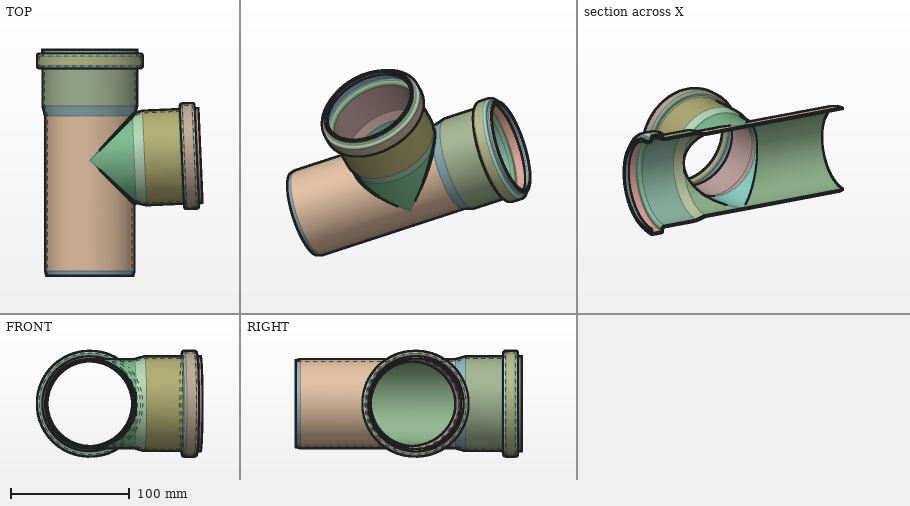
import cadquery as cq
import math

PIPE_OUTER_DIAMETER = 75.2
PIPE_BORE_DIAMETER = 71.0
RUN_LENGTH = 190.0
RUN_SOCKET_REACH = 93.0
SPIGOT_BEVEL_LENGTH = 4.0
SPIGOT_BEVEL_DEPTH = 1.0

BRANCH_REACH = 93.2
BRANCH_TILT = 2.5

SOCKET_WALL = 2.0
MOUTH_OUTER_DIAMETER = 80.2
COLLAR_OUTER_DIAMETER = 89.2
BODY_OUTER_DIAMETER = 79.9

COLLAR_FRONT_DEPTH = 3.2
COLLAR_BACK_DEPTH = 15.7
BODY_END_DEPTH = 47.2
NECK_DEPTH = 55.8

COLLAR_CREST_RADIUS = 2.3
COLLAR_ROOT_RADIUS = 1.0

CROTCH_STRETCH = 1.017
CROTCH_WEB_DIP = 0.03
CROTCH_WEB_HALF_WIDTH = 1.8


def quarter_arc(profile, center, radius, start_angle, end_angle):
    """Draw a line to the start of an arc about center, then the arc itself (angles in degrees)."""

    def point_at(angle):
        turn = math.radians(angle)
        return (center[0] + radius * math.cos(turn), center[1] + radius * math.sin(turn))

    middle_angle = (start_angle + end_angle) / 2
    profile = profile.lineTo(*point_at(start_angle))
    return profile.threePointArc(point_at(middle_angle), point_at(end_angle))


def revolved_envelope(reach, tail, pipe_radius, inset, bevel_length=0.0, bevel_depth=0.0):
    """Solid of revolution about Y: a pipe from -tail to a collared socket mouth at reach.

    The inset is how far the socket surface lies inside the outer surface of the socket.
    The bevel narrows the open end of the pipe.
    """
    mouth_radius = MOUTH_OUTER_DIAMETER / 2 - inset
    collar_radius = COLLAR_OUTER_DIAMETER / 2 - inset
    body_radius = BODY_OUTER_DIAMETER / 2 - inset
    crest = COLLAR_CREST_RADIUS - inset
    root = COLLAR_ROOT_RADIUS + inset
    front = reach - COLLAR_FRONT_DEPTH - inset
    back = reach - COLLAR_BACK_DEPTH + inset

    profile = (
        cq.Workplane("XY")
        .moveTo(0, -tail)
        .lineTo(pipe_radius - bevel_depth, -tail)
    )
    if bevel_length > 0:
        profile = profile.lineTo(pipe_radius, -tail + bevel_length)
    profile = profile.lineTo(pipe_radius, reach - NECK_DEPTH).lineTo(body_radius, reach - BODY_END_DEPTH)
    profile = quarter_arc(profile, (body_radius + root, back - root), root, 180, 90)
    profile = quarter_arc(profile, (collar_radius - crest, back + crest), crest, -90, 0)
    profile = quarter_arc(profile, (collar_radius - crest, front - crest), crest, 0, 90)
    profile = quarter_arc(profile, (mouth_radius + root, front + root), root, 270, 180)
    profile = profile.lineTo(mouth_radius, reach).lineTo(0, reach).close()
    return profile.revolve(360, (0, 0, 0), (0, 1, 0))


def aim_along_branch(body):
    """Turn a body from the run axis onto the branch axis."""
    return body.rotate((0, 0, 0), (0, 0, 1), BRANCH_TILT - 90)


def crotch_web(bisector_angle):
    """Chamfer web in one corner between the run and the branch.

    The crease of the two pipes lies in the plane through Z and the bisector of their axes. The
    web copies the crease in that plane, stretched along the bisector and lowered a little, so it
    emerges from the pipes near their tops and widens towards the corner.
    """
    sine = abs(math.sin(math.radians(bisector_angle - BRANCH_TILT)))
    cosine = math.cos(math.radians(bisector_angle - BRANCH_TILT))
    pipe_radius = PIPE_OUTER_DIAMETER / 2
    crease_reach = pipe_radius / sine
    web_reach = crease_reach * CROTCH_STRETCH
    web_height = pipe_radius - CROTCH_WEB_DIP

    neck_start = BRANCH_REACH - NECK_DEPTH
    neck_slope = (BODY_OUTER_DIAMETER - PIPE_OUTER_DIAMETER) / 2 / (NECK_DEPTH - BODY_END_DEPTH)
    neck_distance = neck_start / cosine

    profile = cq.Workplane("XZ").moveTo(0, -web_height)
    if neck_distance < crease_reach:
        neck_angle = math.degrees(math.acos(neck_distance / crease_reach))
        tip_reach = (pipe_radius - neck_slope * neck_start) / (sine - neck_slope * cosine)
        neck_point = (neck_distance * CROTCH_STRETCH, web_height * math.sin(math.radians(neck_angle)))
        profile = (
            profile.ellipseArc(web_reach, web_height, -90, -neck_angle)
            .threePointArc((tip_reach * CROTCH_STRETCH, 0), neck_point)
            .ellipseArc(web_reach, web_height, neck_angle, 90)
        )
    else:
        profile = profile.ellipseArc(web_reach, web_height, -90, 90)
    web = profile.close().extrude(CROTCH_WEB_HALF_WIDTH, both=True)
    return web.rotate((0, 0, 0), (0, 0, 1), bisector_angle)


def outer_body():
    """Outer surface of the run and the branch, joined and solid."""
    run = revolved_envelope(
        RUN_SOCKET_REACH,
        RUN_LENGTH - RUN_SOCKET_REACH,
        PIPE_OUTER_DIAMETER / 2,
        0.0,
        SPIGOT_BEVEL_LENGTH,
        SPIGOT_BEVEL_DEPTH,
    )
    branch = revolved_envelope(BRANCH_REACH, 0.0, PIPE_OUTER_DIAMETER / 2, 0.0)
    tee = run.union(aim_along_branch(branch))
    socket_side_bisector = (90 + BRANCH_TILT) / 2
    spigot_side_bisector = socket_side_bisector - 90
    for bisector in (socket_side_bisector, spigot_side_bisector):
        tee = tee.union(crotch_web(bisector))
    return tee


def bore(reach, tail):
    """Passage through a pipe and its socket, along Y."""
    return revolved_envelope(reach, tail, PIPE_BORE_DIAMETER / 2, SOCKET_WALL)


run_bore = bore(RUN_SOCKET_REACH, RUN_LENGTH - RUN_SOCKET_REACH)
branch_bore = aim_along_branch(bore(BRANCH_REACH, 0.0))
result = outer_body().cut(run_bore).cut(branch_bore)